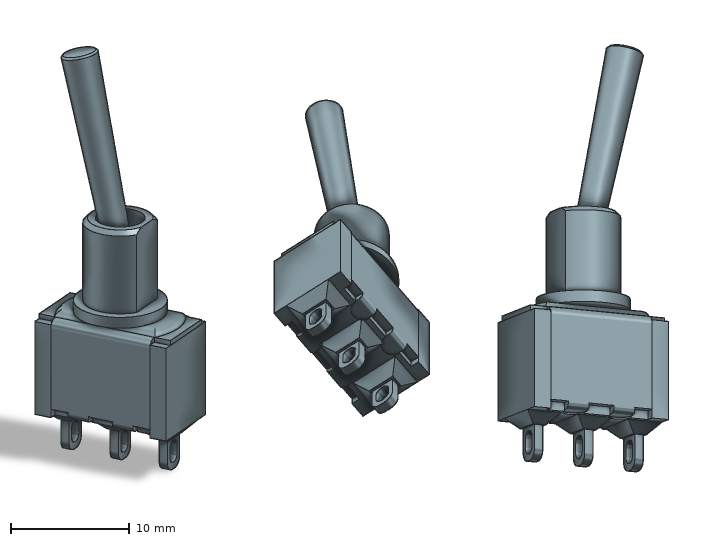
import cadquery as cq
import math


base_length = 12.7
base_width = 6.98
base_height = 8.48
plate_thickness = 0.45
leg_thickness = 0.75
wrap_length = 9.58
skirt_gap = 0.75

tab_width = 1.97
tab_spacing = 4.3
tab_thickness = 0.48
tab_recess = 0.15

pad_rise = 0.55
pad_rounding = 0.95
pad_top_radius = 4.7

flange_diameter = 7.95
flange_thickness = 1.0
bushing_diameter = 6.35
bushing_height = 7.5
bushing_chamfer = 0.4
flat_distance = 2.6
ball_diameter = 4.2

terminal_count = 3
terminal_pitch = 4.75
terminal_length = 3.95
terminal_thickness = 0.8
terminal_width = 2.15
terminal_rounding = 0.88
eye_length = 2.0
eye_width = 1.28
eye_depth = 2.35
footing_width = 4.45
footing_height = 1.0
footing_taper = 45

lever_tilt = 12.5
lever_neck_radius = 1.17
lever_tip_radius = 1.6
lever_chamfer = 0.2
pivot_depth = 3.55
overall_height = 36.55

bracket_top = base_height + plate_thickness
core_width = base_width - 2 * leg_thickness
pad_top = bracket_top + pad_rise
pad_reach = math.sqrt(pad_rounding**2 - (pad_rounding - pad_rise)**2)
pad_radius = pad_top_radius + pad_rounding
pad_width = core_width + 2 * (pad_rounding - pad_reach)
flange_top = pad_top + flange_thickness
bushing_top = flange_top + bushing_height
pivot_height = bushing_top - pivot_depth
ball_radius = ball_diameter / 2
footing_length = base_length - (terminal_count - 1) * terminal_pitch
lever_top = overall_height - terminal_length
tilt = math.radians(lever_tilt)
tip_face_radius = lever_tip_radius - lever_chamfer
lever_length = (lever_top - pivot_height - tip_face_radius * math.sin(tilt)) / math.cos(tilt)


def block(length, width, bottom, top):
    """Box centred on the bushing axis between two levels."""
    box = cq.Workplane("XY").box(length, width, top - bottom, centered=(True, True, False))
    return box.translate((0, 0, bottom))


def make_core():
    """Middle stretch of the base, inside the bracket legs."""
    return block(wrap_length, core_width, 0, base_height)


def make_feet(bottom, top):
    """Four tongues reaching in from the long sides, each with a half-round inner end."""
    foot = block(tab_width, leg_thickness, bottom, top).translate((0, (base_width - leg_thickness) / 2, 0))
    tip = cq.Workplane("XY").workplane(offset=bottom).center(0, core_width / 2).circle(tab_width / 2)
    tip = tip.extrude(top - bottom).intersect(block(tab_width, core_width, bottom, top))
    foot = foot.union(tip)
    feet = cq.Workplane("XY")
    for side in (-1, 1):
        placed = foot.translate((side * tab_spacing / 2, 0, 0))
        feet = feet.union(placed).union(placed.mirror("XZ"))
    return feet


def make_terminal():
    footing = cq.Workplane("XY").rect(footing_length, footing_width)
    footing = footing.extrude(-footing_height, taper=footing_taper)
    blade = block(terminal_thickness, terminal_width, -terminal_length, 0)
    blade = blade.edges("|X and <Z").fillet(terminal_rounding)
    eye = cq.Workplane("YZ").center(0, -eye_depth).slot2D(eye_length, eye_width, 90)
    eye = eye.extrude(terminal_thickness, both=True)
    return footing.union(blade).cut(eye)


def make_base():
    ends = block(base_length, base_width, 0, base_height)
    ends = ends.cut(block(wrap_length, base_width, 0, base_height))
    base = ends.union(make_core()).cut(make_feet(0, tab_recess + tab_thickness))
    first_x = -(terminal_count - 1) * terminal_pitch / 2
    for index in range(terminal_count):
        base = base.union(make_terminal().translate((first_x + index * terminal_pitch, 0, 0)))
    return base


def make_bracket():
    wrap = block(wrap_length, base_width, skirt_gap, bracket_top).edges("|X and >Z").fillet(leg_thickness)
    plate = block(base_length, core_width, base_height, bracket_top)
    return wrap.cut(make_core()).union(plate).union(make_tabs())


def make_tabs():
    """Tabs running down from the legs and bending inward under the base."""
    drops = cq.Workplane("XY")
    for side in (-1, 1):
        drop = block(tab_width, base_width, tab_recess, skirt_gap)
        drops = drops.union(drop.translate((side * tab_spacing / 2, 0, 0)))
    drops = drops.edges("|X and <Z").fillet(tab_thickness)
    folded = drops.intersect(make_feet(tab_recess, tab_recess + tab_thickness))
    return folded.union(drops.cut(block(wrap_length, core_width, 0, skirt_gap)))


def make_pad():
    disc = cq.Workplane("XY").workplane(offset=base_height).circle(pad_radius).extrude(pad_top - base_height)
    strip = block(base_length, pad_width, base_height, pad_top)
    pad = disc.intersect(strip).faces(">Z").edges().fillet(pad_rounding)
    return pad.intersect(block(base_length, core_width, base_height, pad_top))


def make_bushing():
    flange = cq.Workplane("XY").workplane(offset=pad_top).circle(flange_diameter / 2)
    flange = flange.extrude(flange_thickness)
    barrel = cq.Workplane("XY").workplane(offset=flange_top).circle(bushing_diameter / 2)
    barrel = barrel.extrude(bushing_height).faces(">Z").chamfer(bushing_chamfer)
    flat_cut = block(bushing_diameter, bushing_diameter, flange_top, bushing_top)
    flat_cut = flat_cut.translate((flat_distance + bushing_diameter / 2, 0, 0))
    return flange.union(barrel.cut(flat_cut))


def make_bore():
    return cq.Workplane("XY").workplane(offset=pivot_height).circle(ball_radius).extrude(pivot_depth)


def make_lever():
    """Tapered handle growing out of a ball, tilted about the ball centre."""
    profile = [
        (0, 0),
        (lever_neck_radius, 0),
        (lever_tip_radius, lever_length - lever_chamfer),
        (tip_face_radius, lever_length),
        (0, lever_length),
    ]
    handle = cq.Workplane("XZ").polyline(profile).close().revolve(360, (0, 0, 0), (0, 1, 0))
    lever = handle.rotate((0, 0, 0), (0, 1, 0), -lever_tilt).union(cq.Workplane("XY").sphere(ball_radius))
    return lever.translate((0, 0, pivot_height))


def make_frame():
    mount = make_bracket().union(make_pad()).union(make_bushing())
    return mount.cut(make_bore()).union(make_lever())


base = make_base()
frame = make_frame()
result = cq.Compound.makeCompound([base.solids().val(), frame.solids().val()])